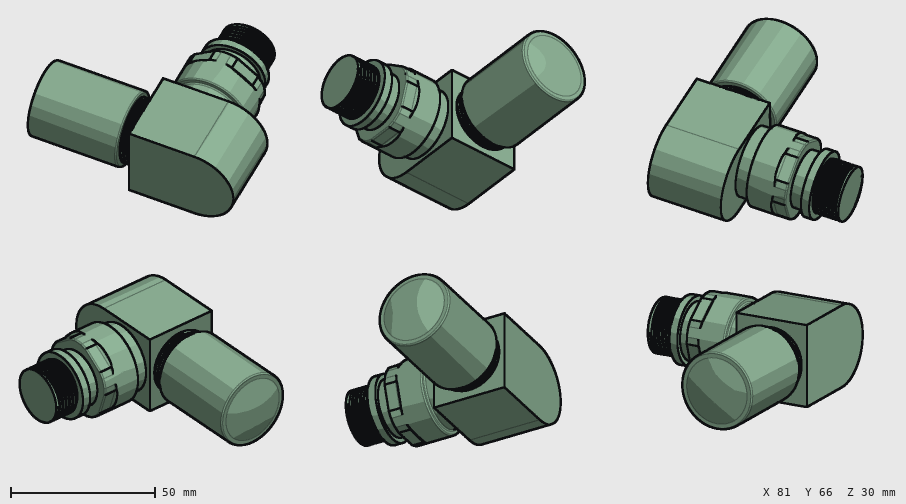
import cadquery as cq
import math

BODY_WIDTH = 30.0
BODY_DEPTH = 28.0
BODY_FLAT_LENGTH = 25.0
BODY_RADIUS = BODY_WIDTH / 2
BODY_LEFT = -BODY_WIDTH / 2
BODY_BACK = BODY_DEPTH / 2

KNOB_RADIUS = 14.0
KNOB_LENGTH = 34.0
KNOB_EDGE_RADIUS = 0.5
DOME_RADIUS = 12.0
DOME_HEIGHT = 2.0

PITCH = 1.5
GROOVE_DEPTH = 0.85
GROOVE_MOUTH = 1.15
GROOVE_ROOT = 0.35
GROOVE_OVERRUN = 0.3
STEM_RADIUS = 12.0
STEM_LENGTH = 5.0
STEM_RUNOUT = 0.9
STEM_TURNS = 4
TAIL_RADIUS = 10.0
TAIL_LENGTH = 10.0
TAIL_RUNOUT = 0.67
TAIL_TURNS = 7

NECK_RADIUS = 13.0
NECK_LENGTH = 5.0
NUT_RADIUS = 15.0
NUT_LENGTH = 15.0
NUT_EDGE_RADIUS = 0.5
SLEEVE_RADIUS = 10.6
SLEEVE_LENGTH = 4.8
FLANGE_RADIUS = 12.5
FLANGE_LENGTH = 3.2
NUT_START = BODY_BACK + NECK_LENGTH
NUT_END = NUT_START + NUT_LENGTH
FLANGE_START = NUT_END + SLEEVE_LENGTH
TAIL_START = FLANGE_START + FLANGE_LENGTH
TAIL_END = TAIL_START + TAIL_LENGTH

FLAT_COUNT = 5
FLAT_DISTANCE = 14.0
FLAT_HALF_WIDTH = 4.85
FLAT_LENGTH = 5.5
FLAT_END_RADIUS = 1.0
WING_OVERRUN = 1.5
WING_HALF_ANGLE = 29.0


def rod(radius, start, length):
    """Cylinder along +Z beginning at height start."""
    return cq.Workplane("XY").workplane(offset=start).circle(radius).extrude(length)


def box_around(low, high):
    """Selector for whatever has its centre between two corners, with a little slack."""
    slack = 0.1
    return cq.selectors.BoxSelector([v - slack for v in low], [v + slack for v in high])


def along_y(shape):
    """Turn a shape built along +Z to lie along +Y (its +Y then faces -Z)."""
    return shape.rotate((0, 0, 0), (1, 0, 0), -90)


def along_x(shape):
    """Turn a shape built along +Z to lie along +X (its -X then faces +Z)."""
    return shape.rotate((0, 0, 0), (0, 1, 0), 90)


def thread_groove(radius, end_height, turns):
    """Right-handed groove cutter about Z that ends on the -X side at end_height."""
    rise = turns * PITCH
    slope = (GROOVE_MOUTH - GROOVE_ROOT) / 2 / GROOVE_DEPTH
    half_outer = GROOVE_MOUTH / 2 + slope * GROOVE_OVERRUN
    half_root = GROOVE_ROOT / 2
    root = radius - GROOVE_DEPTH
    outer = radius + GROOVE_OVERRUN
    path = cq.Workplane(obj=cq.Wire.makeHelix(PITCH, rise, radius))
    profile = [(root, -half_root), (outer, -half_outer), (outer, half_outer), (root, half_root)]
    cutter = cq.Workplane("XZ").polyline(profile).close().sweep(path, isFrenet=True)
    return cutter.rotate((0, 0, 0), (0, 0, 1), 180).translate((0, 0, end_height - rise))


def make_body():
    half = BODY_WIDTH / 2
    arc_start = BODY_LEFT + BODY_FLAT_LENGTH
    return (
        cq.Workplane("XZ", origin=(0, BODY_BACK, 0))
        .moveTo(BODY_LEFT, -half)
        .lineTo(arc_start, -half)
        .threePointArc((arc_start + BODY_RADIUS, 0), (arc_start, half))
        .lineTo(BODY_LEFT, half)
        .close()
        .extrude(BODY_DEPTH)
    )


def make_stem():
    end = BODY_LEFT
    groove = thread_groove(STEM_RADIUS, end - STEM_RUNOUT, STEM_TURNS)
    return along_x(rod(STEM_RADIUS, end - STEM_LENGTH, STEM_LENGTH).cut(groove))


def make_knob():
    rear = BODY_LEFT - STEM_LENGTH
    front = rear - KNOB_LENGTH
    barrel = rod(KNOB_RADIUS, front, KNOB_LENGTH).edges().fillet(KNOB_EDGE_RADIUS)
    sphere_radius = (DOME_RADIUS**2 + DOME_HEIGHT**2) / (2 * DOME_HEIGHT)
    sphere = cq.Workplane("XY").sphere(sphere_radius).translate((0, 0, front - DOME_HEIGHT + sphere_radius))
    dome = sphere.intersect(rod(KNOB_RADIUS, front - DOME_HEIGHT, 2 * DOME_HEIGHT))
    return along_x(barrel.union(dome))


def make_flat_cutter():
    """Pocket cutter on the +Y side: a flat with a sloped wing on each side."""
    wing_angle = math.radians(WING_HALF_ANGLE)
    wing_x = NUT_RADIUS * math.sin(wing_angle)
    wing_y = NUT_RADIUS * math.cos(wing_angle)
    tip_x = FLAT_HALF_WIDTH + WING_OVERRUN * (wing_x - FLAT_HALF_WIDTH)
    tip_y = FLAT_DISTANCE + WING_OVERRUN * (wing_y - FLAT_DISTANCE)
    outer_y = NUT_RADIUS + FLAT_END_RADIUS
    outline = [
        (-tip_x, outer_y),
        (-tip_x, tip_y),
        (-FLAT_HALF_WIDTH, FLAT_DISTANCE),
        (FLAT_HALF_WIDTH, FLAT_DISTANCE),
        (tip_x, tip_y),
        (tip_x, outer_y),
    ]
    end_height = NUT_END - FLAT_LENGTH
    cutter = (
        cq.Workplane("XY", origin=(0, 0, end_height))
        .polyline(outline)
        .close()
        .extrude(2 * FLAT_LENGTH)
    )
    floor_box = box_around((-tip_x, tip_y, end_height), (tip_x, FLAT_DISTANCE, end_height))
    return cutter.faces("<Z").edges(floor_box).edges("not |Y").fillet(FLAT_END_RADIUS)


def make_neck_and_nut():
    neck = rod(NECK_RADIUS, BODY_BACK, NECK_LENGTH)
    nut = rod(NUT_RADIUS, NUT_START, NUT_LENGTH).union(neck)
    inner_face = box_around((0, 0, NUT_START), (0, 0, NUT_START))
    nut = nut.faces(inner_face).edges().fillet(NUT_EDGE_RADIUS)
    cutter = make_flat_cutter()
    for index in range(FLAT_COUNT):
        nut = nut.cut(cutter.rotate((0, 0, 0), (0, 0, 1), index * 360 / FLAT_COUNT))
    return along_y(nut.faces(">Z").edges().fillet(NUT_EDGE_RADIUS))


def make_tail():
    threaded = rod(TAIL_RADIUS, TAIL_START, TAIL_LENGTH).cut(
        thread_groove(TAIL_RADIUS, TAIL_END - TAIL_RUNOUT, TAIL_TURNS)
    )
    sleeve = rod(SLEEVE_RADIUS, NUT_END, SLEEVE_LENGTH)
    flange = rod(FLANGE_RADIUS, FLANGE_START, FLANGE_LENGTH)
    return along_y(sleeve.union(flange).union(threaded))


result = (
    make_body()
    .union(make_stem())
    .union(make_knob())
    .union(make_neck_and_nut())
    .union(make_tail())
)